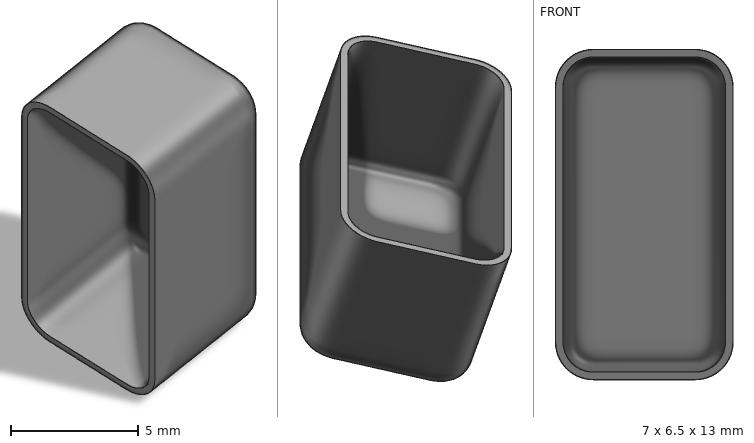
import cadquery as cq

width = 7.0
depth = 6.5
height = 13.0

wall = 0.3
corner_radius = 1.5
back_edge_radius = 0.8


def rounded_block(size_x, size_y, size_z, corner, back_edge):
    """Block with rounded corners along Y and a rounded rim on its +Y face."""
    block = cq.Workplane("XY").box(size_x, size_y, size_z)
    return block.edges("|Y").fillet(corner).faces(">Y").edges().fillet(back_edge)


outer = rounded_block(width, depth, height, corner_radius, back_edge_radius)

cavity = rounded_block(
    width - 2 * wall,
    depth - wall,
    height - 2 * wall,
    corner_radius - wall,
    back_edge_radius - wall,
)

result = outer.cut(cavity.translate((0, -wall / 2, 0)))